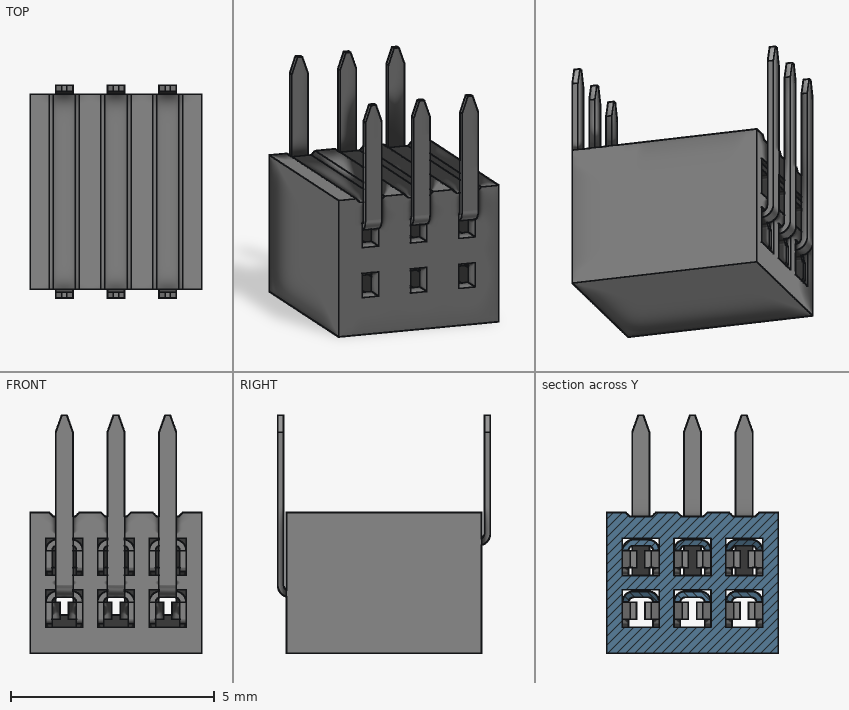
import cadquery as cq
import math

OVERALL_HEIGHT = 5.85
HOUSING_WIDTH = 4.21
HOUSING_DEPTH = 4.795
HOUSING_HEIGHT = 3.465

COLUMNS = 3
PITCH = 1.27
COLUMN_XS = [(i - (COLUMNS - 1) / 2) * PITCH for i in range(COLUMNS)]

CAVITY_WIDTH = 0.9
CAVITY_HEIGHT = 0.91
LOWER_FLOOR_Z = 0.645
UPPER_FLOOR_Z = LOWER_FLOOR_Z + PITCH
REAR_WALL = 0.5
REAR_SLOT_SILL = 0.3

GROOVE_TOP_WIDTH = 0.745
GROOVE_FLOOR_WIDTH = 0.545
GROOVE_DEPTH = 0.1

SHEET = 0.15
BEND_OUTER_RADIUS = 0.31
BEND_INNER_RADIUS = BEND_OUTER_RADIUS - SHEET
LEG_WIDTH = 0.425
LEG_REACH = 0.215
LEG_ROOT_OVERLAP = 0.115
LEG_TIP_WIDTH = 0.13
LEG_TIP_HEIGHT = 0.42
LEG_OUTER_Y = HOUSING_DEPTH / 2 + LEG_REACH
BEND_START_Y = LEG_OUTER_Y - BEND_OUTER_RADIUS

ROOF_CLEARANCE = 0.032
CONTACT_HEIGHT = CAVITY_HEIGHT - ROOF_CLEARANCE
ROOF_EDGE_RADIUS = 0.27
LIP_RECESS = 0.065
LIP_LENGTH = 0.235
LIP_BOTTOM = 0.09
CHEEK_LENGTH = 0.41
CHEEK_TOP = CONTACT_HEIGHT - ROOF_EDGE_RADIUS
HEEL_RADIUS = 0.195
SPRING_ANGLE = 9.0
SPRING_GAP = 0.205
LIP_FRONT_Y = LIP_RECESS - HOUSING_DEPTH / 2
CHEEK_FRONT_Y = LIP_FRONT_Y + LIP_LENGTH
CHEEK_REAR_Y = CHEEK_FRONT_Y + CHEEK_LENGTH
CHEEK_INNER_X = CAVITY_WIDTH / 2 - SHEET
ROOF_FRONT_Y = -BEND_START_Y
ROOF_REAR_Y = HOUSING_DEPTH / 2 - REAR_WALL


def corner_box(x_size, y_start, y_end, z_start, z_end):
    """Box centred on X and spanning the given Y and Z ranges."""
    return (
        cq.Workplane("XY")
        .box(x_size, y_end - y_start, z_end - z_start, centered=(True, False, False))
        .translate((0, y_start, z_start))
    )


def make_groove():
    """Cutter for one top groove with sloping flanks."""
    profile = [
        (-GROOVE_TOP_WIDTH / 2, HOUSING_HEIGHT),
        (-GROOVE_FLOOR_WIDTH / 2, HOUSING_HEIGHT - GROOVE_DEPTH),
        (GROOVE_FLOOR_WIDTH / 2, HOUSING_HEIGHT - GROOVE_DEPTH),
        (GROOVE_TOP_WIDTH / 2, HOUSING_HEIGHT),
    ]
    return cq.Workplane("XZ").polyline(profile).close().extrude(HOUSING_DEPTH / 2, both=True)


def make_cavity(floor_z):
    """Cutter for one contact cavity and the slot through its rear wall."""
    roof_z = floor_z + CAVITY_HEIGHT
    front_y = -HOUSING_DEPTH / 2
    cavity = corner_box(CAVITY_WIDTH, front_y, ROOF_REAR_Y, floor_z, roof_z)
    slot = corner_box(LEG_WIDTH, front_y, HOUSING_DEPTH / 2, floor_z + REAR_SLOT_SILL, roof_z)
    return cavity.union(slot)


def make_housing():
    """Block with a top groove and two stacked cavities in every column."""
    housing = cq.Workplane("XY").box(
        HOUSING_WIDTH, HOUSING_DEPTH, HOUSING_HEIGHT, centered=(True, True, False)
    )
    for x in COLUMN_XS:
        housing = housing.cut(make_groove().translate((x, 0, 0)))
        for floor_z in (LOWER_FLOOR_Z, UPPER_FLOOR_Z):
            housing = housing.cut(make_cavity(floor_z).translate((x, 0, 0)))
    return housing


def make_roof():
    """Sheet along the cavity roof, its two long edges rolled down to the cheeks."""
    outside = (
        corner_box(CAVITY_WIDTH, ROOF_FRONT_Y, ROOF_REAR_Y, 0, CONTACT_HEIGHT)
        .edges("|Y and >Z")
        .fillet(ROOF_EDGE_RADIUS)
    )
    inside = (
        corner_box(2 * CHEEK_INNER_X, ROOF_FRONT_Y, ROOF_REAR_Y, 0, CONTACT_HEIGHT - SHEET)
        .edges("|Y and >Z")
        .fillet(ROOF_EDGE_RADIUS - SHEET)
    )
    below_edges = corner_box(CAVITY_WIDTH, ROOF_FRONT_Y, ROOF_REAR_Y, 0, CHEEK_TOP)
    return outside.cut(inside).cut(below_edges)


def make_cheek():
    """Plate against the +X cavity wall, its lower corners rounded, with a shallower lip in front."""
    cheek = (
        corner_box(SHEET, CHEEK_FRONT_Y, CHEEK_REAR_Y, 0, CHEEK_TOP)
        .edges("|X and <Z")
        .fillet(HEEL_RADIUS)
    )
    lip = (
        corner_box(SHEET, LIP_FRONT_Y, CHEEK_FRONT_Y + HEEL_RADIUS, LIP_BOTTOM, CHEEK_TOP)
        .edges("|X and <Y and <Z")
        .fillet(HEEL_RADIUS - LIP_BOTTOM)
    )
    return cheek.union(lip).translate((CHEEK_INNER_X + SHEET / 2, 0, 0))


def make_spring():
    """Spring running back from the +X cheek and slanting in towards the contact gap."""
    tip_x = SPRING_GAP / 2
    tip_y = CHEEK_REAR_Y + (CHEEK_INNER_X - tip_x) / math.tan(math.radians(SPRING_ANGLE))
    outline = [
        (CHEEK_INNER_X, CHEEK_REAR_Y),
        (CHEEK_INNER_X + SHEET, CHEEK_REAR_Y),
        (tip_x + SHEET, tip_y),
        (tip_x, tip_y),
    ]
    return (
        cq.Workplane("XY", origin=(0, 0, HEEL_RADIUS))
        .polyline(outline)
        .close()
        .extrude(CHEEK_TOP - HEEL_RADIUS)
    )


def make_leg(floor_z, root_y):
    """Leg leaving the roof towards +Y from root_y, bent up and tapered at its tip."""
    roof_top = floor_z + CONTACT_HEIGHT
    bend_z = roof_top + BEND_INNER_RADIUS
    diagonal = math.sqrt(0.5)
    side_profile = (
        cq.Workplane("YZ")
        .moveTo(root_y, roof_top - SHEET)
        .lineTo(BEND_START_Y, roof_top - SHEET)
        .threePointArc(
            (BEND_START_Y + BEND_OUTER_RADIUS * diagonal, bend_z - BEND_OUTER_RADIUS * diagonal),
            (LEG_OUTER_Y, bend_z),
        )
        .lineTo(LEG_OUTER_Y, OVERALL_HEIGHT)
        .lineTo(LEG_OUTER_Y - SHEET, OVERALL_HEIGHT)
        .lineTo(LEG_OUTER_Y - SHEET, bend_z)
        .threePointArc(
            (BEND_START_Y + BEND_INNER_RADIUS * diagonal, bend_z - BEND_INNER_RADIUS * diagonal),
            (BEND_START_Y, roof_top),
        )
        .lineTo(root_y, roof_top)
        .close()
        .extrude(LEG_WIDTH / 2, both=True)
    )
    shoulder_z = OVERALL_HEIGHT - LEG_TIP_HEIGHT
    front_outline = [
        (-LEG_WIDTH / 2, 0),
        (LEG_WIDTH / 2, 0),
        (LEG_WIDTH / 2, shoulder_z),
        (LEG_TIP_WIDTH / 2, OVERALL_HEIGHT),
        (-LEG_TIP_WIDTH / 2, OVERALL_HEIGHT),
        (-LEG_WIDTH / 2, shoulder_z),
    ]
    tapered = cq.Workplane("XZ").polyline(front_outline).close().extrude(LEG_OUTER_Y, both=True)
    return side_profile.intersect(tapered)


def make_contact(floor_z, leg):
    """Join roof, cheeks, springs and leg into one contact standing on a cavity floor."""
    side = make_cheek().union(make_spring())
    body = make_roof().union(side).union(side.mirror("YZ"))
    return body.translate((0, 0, floor_z)).union(leg)


def make_lower_contact():
    """Lower-row contact, whose leg leaves at the front."""
    leg = make_leg(LOWER_FLOOR_Z, BEND_START_Y - LEG_ROOT_OVERLAP)
    return make_contact(LOWER_FLOOR_Z, leg.mirror("XZ"))


def make_upper_contact():
    """Upper-row contact, whose leg leaves through the rear slot."""
    leg = make_leg(UPPER_FLOOR_Z, ROOF_REAR_Y - LEG_ROOT_OVERLAP)
    return make_contact(UPPER_FLOOR_Z, leg)


housing = make_housing()
contact_solids = []
for column_x in COLUMN_XS:
    for contact in (make_lower_contact(), make_upper_contact()):
        contact_solids.append(contact.translate((column_x, 0, 0)).solids().val())

result = cq.Compound.makeCompound([housing.solids().val(), *contact_solids])